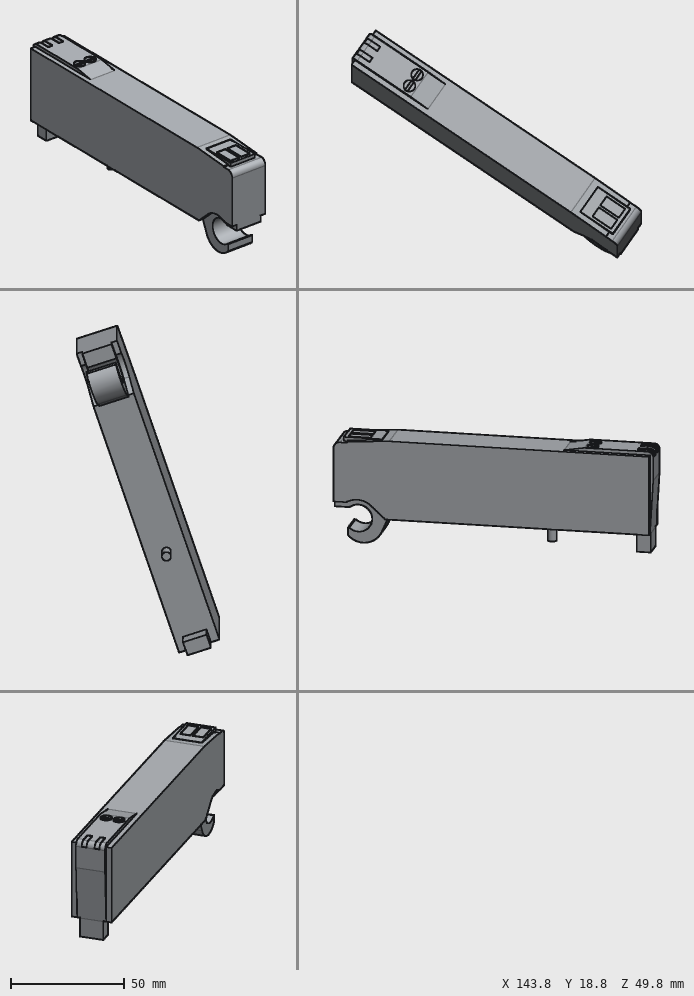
import cadquery as cq
import math

length = 143.8
body_width = 18.8
insert_width = 13.7
body_front_x = 1.5
body_top_z = 36.1

end_block_x = 137.8
end_block_top_z = 34.2
end_block_bottom_z = 6.9
end_block_radius = 2.9
slope_start_x = 118.8
slope_end_z = 34.7

cover_top_z = 37.7
cover_radius = 2.6
cover_slope_x = 31.2
cover_end_x = 40.4
cover_bend_z = 24.7
lane_offset_y = 3.0
groove_end_x = 7.5
groove_width = 2.3
groove_depth = 0.3
screw_x = 28.0
screw_diameter = 5.2
screw_recess = 0.3
driver_slot_width = 1.3
driver_slot_depth = 0.6

terminal_start_x = 122.2
terminal_end_x = 139.6
terminal_base_z = 28.8
window_start_x = 127.8
window_width = 4.9
window_depth = 0.3

rail_x = 133.0
rail_z = -0.9
rail_radius = 6.2
clearance_radius = 9.2
clearance_start_x = 120.4
hook_start_x = 119.6
hook_x = 130.9
hook_radius = 9.0
hook_bottom_z = cover_top_z - 49.8
hook_z = hook_bottom_z + hook_radius
hook_root_x = 126.5
hook_root_z = 11.5
opening_bottom_z = -5.5
opening_top_z = 3.9

foot_length = 6.3
foot_width = 11.0
foot_bottom_z = -9.0
pin_diameter = 4.0
pin_x = 47.0
pin_bottom_z = -7.8


def extrude_across(outline, width):
    """Extrude an XZ outline symmetrically about Y = 0."""
    return outline.extrude(width / 2, both=True)


def block(x_start, x_end, width, z_start, z_end, y=0):
    """Box given by its X and Z limits and centred on y."""
    return (
        cq.Workplane("XY", origin=((x_start + x_end) / 2, y, z_start))
        .rect(x_end - x_start, width)
        .extrude(z_end - z_start)
    )


def tangent_point(px, pz, cx, cz, radius, side):
    """Point where a line from (px, pz) touches a circle; side is +1 or -1."""
    distance = math.hypot(px - cx, pz - cz)
    angle = math.atan2(pz - cz, px - cx) + side * math.acos(radius / distance)
    return cx + radius * math.cos(angle), cz + radius * math.sin(angle)


def make_body():
    touch = tangent_point(clearance_start_x, 0, rail_x, rail_z, clearance_radius, -1)
    arc_end_z = rail_z + math.sqrt(clearance_radius**2 - (end_block_x - rail_x) ** 2)
    main = (
        cq.Workplane("XZ")
        .moveTo(body_front_x, 0)
        .lineTo(clearance_start_x, 0)
        .lineTo(*touch)
        .threePointArc((rail_x, rail_z + clearance_radius), (end_block_x, arc_end_z))
        .lineTo(end_block_x, slope_end_z)
        .lineTo(slope_start_x, body_top_z)
        .lineTo(body_front_x, body_top_z)
        .close()
    )
    end_block = block(end_block_x, length, body_width, end_block_bottom_z, end_block_top_z)
    end_block = end_block.edges(">X and >Z").fillet(end_block_radius)
    return extrude_across(main, body_width).union(end_block)


def cover_solid(inset, width):
    """Front cover, with its front and top faces moved inward by inset."""
    outline = (
        cq.Workplane("XZ")
        .moveTo(body_front_x + inset, 0)
        .lineTo(inset, cover_bend_z)
        .lineTo(inset, cover_top_z - cover_radius)
        .radiusArc((cover_radius, cover_top_z - inset), cover_radius - inset)
        .lineTo(cover_slope_x, cover_top_z - inset)
        .lineTo(cover_end_x, body_top_z - inset)
        .lineTo(cover_end_x, 0)
        .close()
    )
    return extrude_across(outline, width)


def make_cover():
    cover = cover_solid(0, insert_width)
    skin = cover.cut(cover_solid(groove_depth, insert_width))
    screw_floor_z = cover_top_z - screw_recess
    slot_floor_z = screw_floor_z - driver_slot_depth
    for y in (-lane_offset_y, lane_offset_y):
        groove = block(0, groove_end_x, groove_width, cover_top_z - cover_radius, cover_top_z, y)
        cover = cover.cut(skin.intersect(groove))
        head = (
            cq.Workplane("XY", origin=(screw_x, y, slot_floor_z))
            .circle(screw_diameter / 2)
            .extrude(cover_top_z - slot_floor_z)
        )
        slot = block(
            screw_x - driver_slot_width / 2,
            screw_x + driver_slot_width / 2,
            screw_diameter,
            slot_floor_z,
            cover_top_z,
            y,
        )
        recess = block(cover_radius, cover_slope_x, insert_width, screw_floor_z, cover_top_z)
        cover = cover.cut(head.intersect(slot.union(recess)))
    return cover


def make_terminal_block():
    return block(terminal_start_x, terminal_end_x, insert_width, terminal_base_z, body_top_z)


def make_windows():
    floor_z = body_top_z - window_depth
    windows = cq.Workplane("XY")
    for y in (-lane_offset_y, lane_offset_y):
        windows = windows.add(block(window_start_x, end_block_x, window_width, floor_z, body_top_z, y))
    return windows.combine()


def make_hook():
    touch = tangent_point(hook_start_x, 0, hook_x, hook_z, hook_radius, 1)
    tip_z = hook_z - math.sqrt(hook_radius**2 - (end_block_x - hook_x) ** 2)
    outline = (
        cq.Workplane("XZ")
        .moveTo(hook_start_x, 0)
        .lineTo(*touch)
        .threePointArc((hook_x, hook_bottom_z), (end_block_x, tip_z))
        .lineTo(end_block_x, opening_top_z)
        .lineTo(length, opening_top_z)
        .lineTo(length, hook_root_z)
        .lineTo(hook_root_x, hook_root_z)
        .close()
    )
    bore = extrude_across(
        cq.Workplane("XZ").center(rail_x, rail_z).circle(rail_radius), insert_width
    )
    opening = block(rail_x, length, insert_width, opening_bottom_z, opening_top_z)
    return extrude_across(outline, insert_width).cut(bore).cut(opening)


def make_foot():
    return block(body_front_x, body_front_x + foot_length, foot_width, foot_bottom_z, body_top_z / 2)


def make_pin():
    return (
        cq.Workplane("XY", origin=(pin_x, 0, pin_bottom_z))
        .circle(pin_diameter / 2)
        .extrude(body_top_z / 2 - pin_bottom_z)
    )


result = (
    make_body()
    .union(make_cover())
    .union(make_terminal_block())
    .union(make_hook())
    .union(make_foot())
    .union(make_pin())
    .cut(make_windows())
)